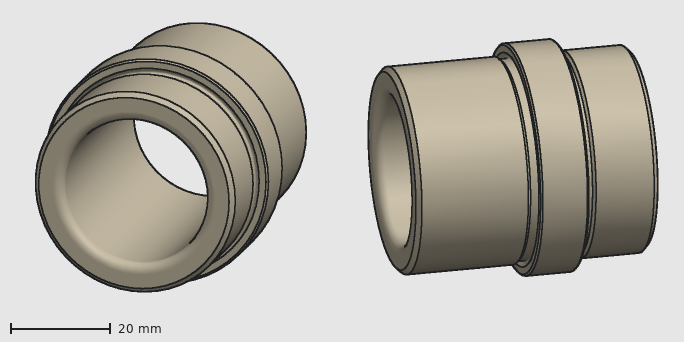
import cadquery as cq
import math

length = 50.0
body_radius = 21.0
bore_radius = 15.0
bore_rounding = 2.0
end_chamfer = 1.0


collar_radius = 23.5
collar_front = 15.0
collar_rear = 25.0
collar_chamfer = 0.4

groove_width = 1.4
groove_depth = 0.6
groove_floor_radius = body_radius - groove_depth
groove_front = collar_front - groove_width
groove_rear = collar_rear + groove_width

undercut_radius = 21.65
corner_rounding = 0.35
wall_diagonal = corner_rounding * math.sqrt(0.5)
corner_tangent = corner_rounding * math.tan(math.radians(67.5))
corner_radius = groove_floor_radius + corner_rounding
corner_depth = undercut_radius - groove_floor_radius - corner_tangent

wall_end_radius = corner_radius + wall_diagonal
wall_end_depth = corner_depth + wall_diagonal
deepest = corner_depth + corner_rounding

profile = (
    cq.Workplane("XY")
    .moveTo(bore_radius + bore_rounding, 0)
    .lineTo(body_radius - end_chamfer, 0)
    .lineTo(body_radius, end_chamfer)
    .lineTo(body_radius, groove_front - groove_depth)
    .lineTo(groove_floor_radius, groove_front)
    .lineTo(groove_floor_radius, collar_front + corner_depth)
    .threePointArc(
        (corner_radius, collar_front + deepest),
        (wall_end_radius, collar_front + wall_end_depth),
    )
    .lineTo(undercut_radius, collar_front)
    .lineTo(collar_radius - collar_chamfer, collar_front)
    .lineTo(collar_radius, collar_front + collar_chamfer)
    .lineTo(collar_radius, collar_rear - collar_chamfer)
    .lineTo(collar_radius - collar_chamfer, collar_rear)
    .lineTo(undercut_radius, collar_rear)
    .lineTo(wall_end_radius, collar_rear - wall_end_depth)
    .threePointArc(
        (corner_radius, collar_rear - deepest),
        (groove_floor_radius, collar_rear - corner_depth),
    )
    .lineTo(groove_floor_radius, groove_rear)
    .lineTo(body_radius, groove_rear + groove_depth)
    .lineTo(body_radius, length - end_chamfer)
    .lineTo(body_radius - end_chamfer, length)
    .lineTo(bore_radius + bore_rounding, length)
    .radiusArc((bore_radius, length - bore_rounding), -bore_rounding)
    .lineTo(bore_radius, bore_rounding)
    .radiusArc((bore_radius + bore_rounding, 0), -bore_rounding)
    .close()
)

result = profile.revolve(360, (0, 0, 0), (0, 1, 0))